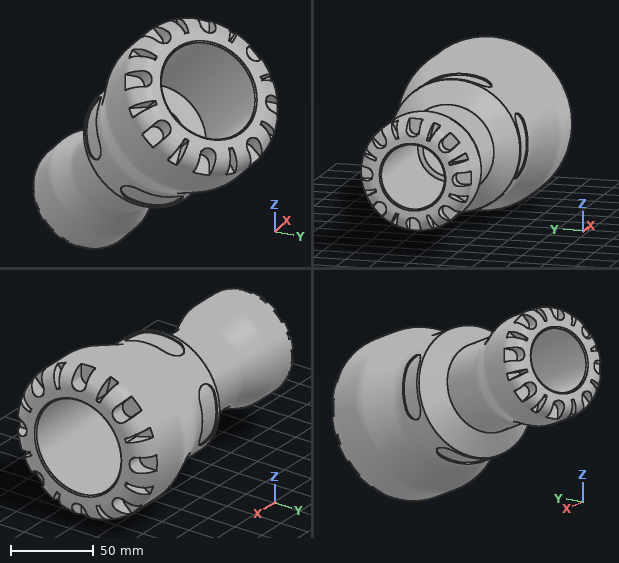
import cadquery as cq
import math

LENGTH = 183.0

SMALL_RADIUS = 70.0 / 2
NECK_RADIUS = 56.0 / 2
COLLAR_RADIUS = 82.4 / 2
LARGE_RADIUS = 103.0 / 2

SMALL_NOSE_RADIUS = 9.9
LARGE_NOSE_RADIUS = 13.3

TAPER_ANGLE = math.radians(20.0)
SMALL_TAPER_START = 27.2
SMALL_BLEND_RADIUS = 14.4
LARGE_TAPER_START = 112.7
LARGE_BLEND_RADIUS = 20.8

SHOULDER_START = 81.4
SHOULDER_END = 92.6

THROUGH_RADIUS = 33.5 / 2
SMALL_SOCKET_RADIUS = 40.0 / 2
LARGE_SOCKET_RADIUS = 63.0 / 2
SMALL_SOCKET_DEPTH = SHOULDER_START
LARGE_SOCKET_DEPTH = LENGTH - LARGE_TAPER_START
MOUTH_CHAMFER = 0.9

SLOTS_PER_END = 8
SLOT_PITCH = 360.0 / SLOTS_PER_END
SMALL_SLOT_WIDTH = 8.3
SMALL_SLOT_DEPTH = 8.0
LARGE_SLOT_WIDTH = 10.5
LARGE_SLOT_DEPTH = 10.7
SLOT_FLOOR_LIP = 0.1
WEDGE_FLOOR_HALF_ANGLE = math.radians(1.8)
WEDGE_RIM_HALF_ANGLE = math.radians(3.5)

RECESS_COUNT = 4
RECESS_LENGTH = 40.4
RECESS_WIDTH = 15.6
RECESS_DEPTH = 1.0
RECESS_CENTRE_X = 102.8

CLEARANCE = 5.0


def blended_taper(profile, start_x, start_radius, end_radius, blend_radius):
    """Continue the profile with an arc, a straight taper and an opposite arc."""
    direction = math.copysign(1.0, end_radius - start_radius)
    arc_length_x = blend_radius * math.sin(TAPER_ANGLE)
    arc_rise = blend_radius * (1 - math.cos(TAPER_ANGLE))
    middle_x = blend_radius * math.sin(TAPER_ANGLE / 2)
    middle_rise = blend_radius * (1 - math.cos(TAPER_ANGLE / 2))
    line_rise = abs(end_radius - start_radius) - 2 * arc_rise
    end_x = start_x + 2 * arc_length_x + line_rise / math.tan(TAPER_ANGLE)
    return (
        profile.lineTo(start_x, start_radius)
        .threePointArc(
            (start_x + middle_x, start_radius + direction * middle_rise),
            (start_x + arc_length_x, start_radius + direction * arc_rise),
        )
        .lineTo(end_x - arc_length_x, end_radius - direction * arc_rise)
        .threePointArc(
            (end_x - middle_x, end_radius - direction * middle_rise),
            (end_x, end_radius),
        )
    )


def outer_body():
    """Solid of revolution with rounded noses, two tapers and a conical shoulder."""
    profile = (
        cq.Workplane("XY")
        .moveTo(0, 0)
        .lineTo(0, SMALL_RADIUS - SMALL_NOSE_RADIUS)
        .radiusArc((SMALL_NOSE_RADIUS, SMALL_RADIUS), SMALL_NOSE_RADIUS)
    )
    profile = blended_taper(profile, SMALL_TAPER_START, SMALL_RADIUS, NECK_RADIUS, SMALL_BLEND_RADIUS)
    profile = profile.lineTo(SHOULDER_START, NECK_RADIUS).lineTo(SHOULDER_END, COLLAR_RADIUS)
    profile = blended_taper(profile, LARGE_TAPER_START, COLLAR_RADIUS, LARGE_RADIUS, LARGE_BLEND_RADIUS)
    profile = (
        profile.lineTo(LENGTH - LARGE_NOSE_RADIUS, LARGE_RADIUS)
        .radiusArc((LENGTH, LARGE_RADIUS - LARGE_NOSE_RADIUS), LARGE_NOSE_RADIUS)
        .lineTo(LENGTH, 0)
        .close()
    )
    return profile.revolve(360, (0, 0, 0), (1, 0, 0))


def bore():
    """Stepped bore: a socket at each end, chamfered at the mouth, joined by a narrower passage."""
    large_socket_floor = LENGTH - LARGE_SOCKET_DEPTH
    return (
        cq.Workplane("XY")
        .moveTo(0, 0)
        .lineTo(0, SMALL_SOCKET_RADIUS + MOUTH_CHAMFER)
        .lineTo(MOUTH_CHAMFER, SMALL_SOCKET_RADIUS)
        .lineTo(SMALL_SOCKET_DEPTH, SMALL_SOCKET_RADIUS)
        .lineTo(SMALL_SOCKET_DEPTH, THROUGH_RADIUS)
        .lineTo(large_socket_floor, THROUGH_RADIUS)
        .lineTo(large_socket_floor, LARGE_SOCKET_RADIUS)
        .lineTo(LENGTH - MOUTH_CHAMFER, LARGE_SOCKET_RADIUS)
        .lineTo(LENGTH, LARGE_SOCKET_RADIUS + MOUTH_CHAMFER)
        .lineTo(LENGTH, 0)
        .close()
        .revolve(360, (0, 0, 0), (1, 0, 0))
    )


def round_slot(start_x, depth, width, floor_radius, rim_radius):
    """Cutter for a parallel-sided slot with a half-round floor, open outward along +Z."""
    half_width = width / 2
    straight_start = floor_radius + half_width
    top = rim_radius + CLEARANCE
    return (
        cq.Workplane("YZ", origin=(start_x, 0, 0))
        .moveTo(-half_width, top)
        .lineTo(-half_width, straight_start)
        .threePointArc((0, floor_radius), (half_width, straight_start))
        .lineTo(half_width, top)
        .close()
        .extrude(depth)
    )


def wedge_slot(start_x, depth, floor_radius, rim_radius):
    """Cutter for a narrow flat-floored slot that widens outward along +Z."""
    floor_half_width = floor_radius * math.tan(WEDGE_FLOOR_HALF_ANGLE)
    rim_half_width = rim_radius * math.tan(WEDGE_RIM_HALF_ANGLE)
    flare = (rim_half_width - floor_half_width) / (rim_radius - floor_radius)
    top_half_width = rim_half_width + flare * CLEARANCE
    top = rim_radius + CLEARANCE
    return (
        cq.Workplane("YZ", origin=(start_x, 0, 0))
        .polyline([
            (-floor_half_width, floor_radius),
            (floor_half_width, floor_radius),
            (top_half_width, top),
            (-top_half_width, top),
        ])
        .close()
        .extrude(depth)
    )


def cut_around_axis(body, cutter, count, first_angle=0.0):
    """Cut equally spaced copies of the cutter around the X axis."""
    for index in range(count):
        angle = first_angle + index * 360.0 / count
        body = body.cut(cutter.rotate((0, 0, 0), (1, 0, 0), angle))
    return body


def cut_grip(body, start_x, depth, width, nose_radius, rim_radius):
    """Cut alternating round and wedge slots into one rounded nose."""
    floor_radius = rim_radius - nose_radius + SLOT_FLOOR_LIP
    round_cutter = round_slot(start_x, depth, width, floor_radius, rim_radius)
    wedge_cutter = wedge_slot(start_x, depth, floor_radius, rim_radius)
    body = cut_around_axis(body, round_cutter, SLOTS_PER_END)
    return cut_around_axis(body, wedge_cutter, SLOTS_PER_END, SLOT_PITCH / 2)


def collar_recess():
    """Cutter for one obround recess on the +Z side, with a floor concentric to the collar."""
    outline = (
        cq.Workplane("XY")
        .center(RECESS_CENTRE_X, 0)
        .slot2D(RECESS_LENGTH, RECESS_WIDTH, 90)
        .extrude(COLLAR_RADIUS + CLEARANCE)
    )
    core = (
        cq.Workplane("YZ", origin=(RECESS_CENTRE_X - RECESS_WIDTH, 0, 0))
        .circle(COLLAR_RADIUS - RECESS_DEPTH)
        .extrude(2 * RECESS_WIDTH)
    )
    return outline.cut(core)


result = outer_body().cut(bore())
result = cut_grip(result, 0, SMALL_SLOT_DEPTH, SMALL_SLOT_WIDTH, SMALL_NOSE_RADIUS, SMALL_RADIUS)
result = cut_grip(
    result,
    LENGTH - LARGE_SLOT_DEPTH,
    LARGE_SLOT_DEPTH,
    LARGE_SLOT_WIDTH,
    LARGE_NOSE_RADIUS,
    LARGE_RADIUS,
)
result = cut_around_axis(result, collar_recess(), RECESS_COUNT)